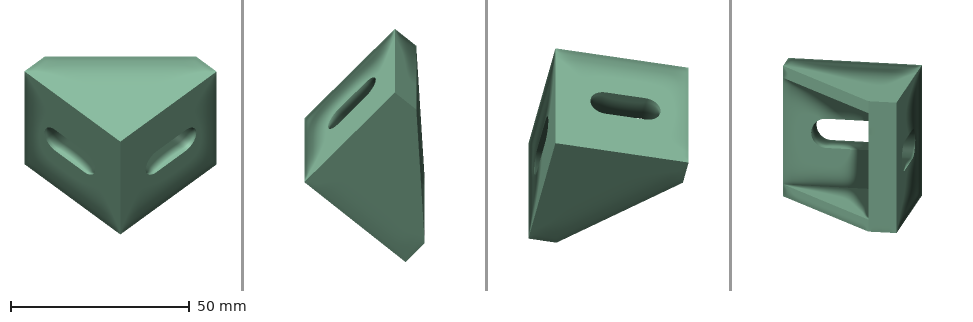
import cadquery as cq

size = 38.0
leg_thickness = 8.0
cheek_thickness = 3.5
slot_length = 20.0
slot_width = 8.5
slot_edge_distance = 8.0

slot_center = slot_edge_distance + slot_length / 2
inner_height = size - 2 * cheek_thickness


def bracket_body():
    """Square prism with its outer corner cut off diagonally."""
    outline = [
        (0, 0),
        (size, 0),
        (size, size),
        (size - leg_thickness, size),
        (0, leg_thickness),
    ]
    return cq.Workplane("XY").polyline(outline).close().extrude(size)


def inner_pocket():
    """Triangular space between the two legs and the two cheeks."""
    inner_x = size - leg_thickness
    outline = [(0, leg_thickness), (inner_x, leg_thickness), (inner_x, size)]
    return (
        cq.Workplane("XY", origin=(0, 0, cheek_thickness))
        .polyline(outline)
        .close()
        .extrude(inner_height)
    )


def leg_slot(plane, center, direction):
    """Rounded slot running through one leg, along the plane normal."""
    return (
        cq.Workplane(plane, origin=center)
        .slot2D(slot_length, slot_width)
        .extrude(direction * leg_thickness)
    )


front_slot = leg_slot("XZ", (slot_center, 0, size / 2), -1)
side_slot = leg_slot("YZ", (size, size - slot_center, size / 2), -1)

result = bracket_body().cut(inner_pocket()).cut(front_slot).cut(side_slot)